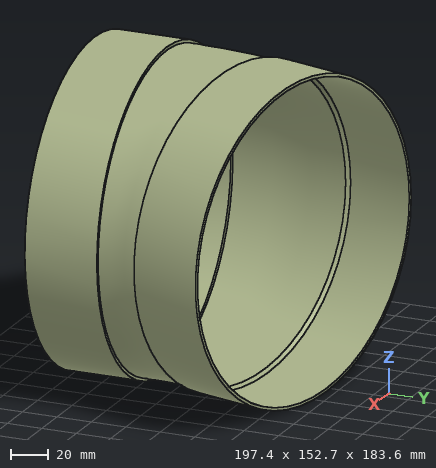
import cadquery as cq
import math

body_diameter = 180.0
wall = 1.8
socket_length = 41.9
taper_length = 2.0
bend_radius = body_diameter
bend_angle = 15.0

socket_diameter = body_diameter + 2 * wall
bore_diameter = body_diameter - 2 * wall
socket_depth = socket_length - taper_length
angle = math.radians(bend_angle)

inlet_direction = cq.Vector(0, 1, 0)
bend_start = cq.Vector(0, socket_length, 0)
outlet_direction = cq.Vector(math.sin(angle), math.cos(angle), 0)


def bend_point(turn):
    """Point on the centreline after turning by the given angle in radians."""
    across = bend_radius * (1 - math.cos(turn))
    along = bend_radius * math.sin(turn)
    return bend_start + cq.Vector(across, along, 0)


bend_end = bend_point(angle)
outlet_face = bend_end + outlet_direction * socket_length


def cylinder(diameter, length, start, direction):
    return cq.Workplane(cq.Solid.makeCylinder(diameter / 2, length, start, direction))


def bent_rod(diameter):
    """Solid rod following the bend between the two sockets."""
    path = cq.Workplane("XY").moveTo(bend_start.x, bend_start.y)
    path = path.threePointArc(bend_point(angle / 2).toTuple()[:2], bend_end.toTuple()[:2])
    section = cq.Workplane(cq.Plane(bend_start, xDir=(1, 0, 0), normal=inlet_direction))
    return section.circle(diameter / 2).sweep(path)


def socket(face_centre, inward):
    """Solid plug with the outside of a socket."""
    return cylinder(socket_diameter, socket_length, face_centre, inward)


def socket_cavity(face_centre, inward):
    """Wide socket bore followed by the cone narrowing to the pipe bore."""
    wide_bore = cylinder(body_diameter, socket_depth, face_centre, inward)
    taper_start = face_centre + inward * socket_depth
    taper = cq.Solid.makeCone(body_diameter / 2, bore_diameter / 2, taper_length, taper_start, inward)
    return wide_bore.union(cq.Workplane(taper))


result = bent_rod(body_diameter)
cavity = bent_rod(bore_diameter)
for face_centre, inward in (
    (cq.Vector(0, 0, 0), inlet_direction),
    (outlet_face, outlet_direction * -1),
):
    result = result.union(socket(face_centre, inward))
    cavity = cavity.union(socket_cavity(face_centre, inward))
result = result.cut(cavity)